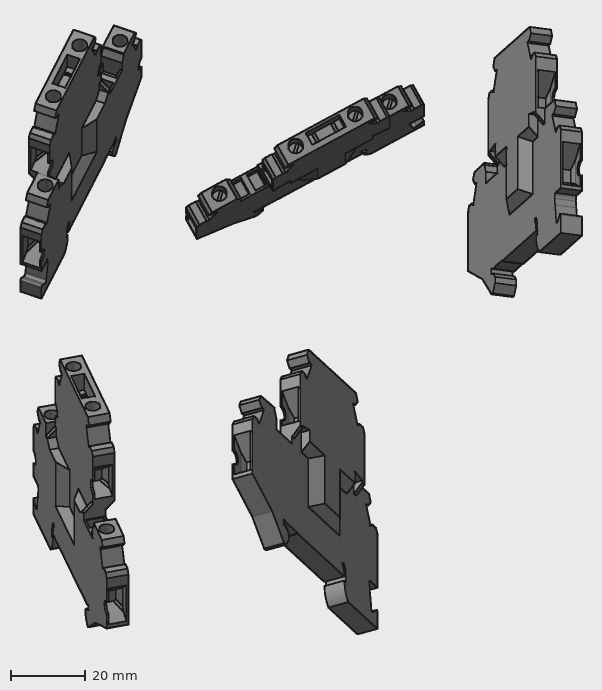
import cadquery as cq

housing_thickness = 6.15
deck_offset = 2.6
deck_left = 0.0
base_left = deck_left + deck_offset
deck_right = deck_left + housing_thickness
base_right = base_left + housing_thickness

deck_top = 64.4
tower_top = 39.8
rear_tower_top = 39.35
seat_level = 33.35
rail_level = 6.85
deck_half_length = 17.95
base_front = -29.9
base_rear = 40.0
tower_gap_end = 26.4

underside_level = seat_level + deck_offset
end_slope_bottom = 35.45
end_slope_top = 38.2
tab_inner = 12.65
tab_outer = 16.7
tab_inner_top = 39.55
tab_outer_top = 38.85
seat_half_length = 14.4

tongue_tip_half_width = 4.25
tongue_root_half_width = 8.8
tongue_tip_bottom = 20.9
tongue_root_bottom = 18.25

screw_hole_radius = 2.0
screw_hole_depth = 6.3
driver_slot_width = 0.8
driver_slot_depth = 0.7
deck_screws_y = (-9.2, 9.1)
base_screws_y = (-21.1, 31.1)
deck_screw_x = 3.55
base_screw_x = deck_screw_x + deck_offset

funnel_depth = 5.95
funnel_straight_depth = 3.6
funnel_mouth_left = 0.6
funnel_mouth_right = 5.6
funnel_end_left = 1.9
funnel_end_right = 5.1
funnel_end_top_drop = 5.6
funnel_end_bottom_drop = 9.4
deck_mouth_top = 50.55
deck_mouth_bottom = 39.8
base_mouth_top = 26.2
base_mouth_bottom = 14.0
funnel_left_chamfer = 0.55
funnel_right_chamfer = 0.2
notch_radius = 2.2
notch_drop = 6.8

label_pocket_half_length = 5.2
label_pocket_middle_y = -0.2
label_pocket_left = 1.7
label_pocket_right = 5.4
label_pocket_depth = 5.6
contact_slit_left = 2.1
contact_slit_width = 0.85
contact_slit_pitch = 5.9
contact_slit_depth = 0.7
seat_pocket_side_wall = 0.6
seat_pocket_depth = 3.5
seat_pockets_y = ((18.4, 21.6), (23.35, tower_gap_end))


def slab(outline, left, right):
    """Extrude a closed YZ outline between two X positions."""
    return outline.close().extrude(right - left).translate((left, 0, 0))


def box(x_range, y_range, z_range):
    """Box given by its limits along the three axes."""
    size = [high - low for low, high in (x_range, y_range, z_range)]
    corner = (x_range[0], y_range[0], z_range[0])
    return cq.Workplane("XY").box(*size, centered=False).translate(corner)


def clamp_end(end_y, inward, top):
    """Stepped end outline with an undercut lip, from the end face up to the top."""
    steps = [
        (0.0, 10.1),
        (1.2, 8.7),
        (4.3, 8.7),
        (4.3, 9.1),
        (5.5, 9.5),
        (9.1, 4.05),
        (7.8, 3.6),
        (7.5, 4.0),
        (5.3, 2.2),
        (6.7, 0.0),
    ]
    return [(end_y + inward * depth, top - drop) for depth, drop in steps]


def end_slope(side, left, closing_level):
    """Prism between the inclined face at one end of the deck and a flat level."""
    right = left + deck_offset
    prism = (
        cq.Workplane("XZ")
        .polyline([
            (left, closing_level),
            (left, end_slope_top),
            (right, end_slope_bottom),
            (right, closing_level),
        ])
        .close()
        .extrude(deck_half_length - tab_outer)
    )
    return prism.translate((0, deck_half_length if side > 0 else -tab_outer, 0))


def deck():
    outline = [(-deck_half_length, seat_level)]
    outline += clamp_end(-deck_half_length, 0.7, deck_top)
    outline += reversed(clamp_end(deck_half_length, -0.7, deck_top))
    outline += [(deck_half_length, seat_level)]
    body = slab(cq.Workplane("YZ").polyline(outline), deck_left, deck_right)

    middle_relief = (
        cq.Workplane("XZ")
        .polyline([
            (deck_left, seat_level),
            (base_left, seat_level),
            (deck_left, underside_level),
        ])
        .close()
        .extrude(deck_half_length, both=True)
    )
    body = body.cut(middle_relief)
    for side in (-1, 1):
        tab_recess = slab(
            cq.Workplane("YZ").polyline([
                (side * tab_inner, seat_level),
                (side * tab_inner, tab_inner_top),
                (side * tab_outer, tab_outer_top),
                (side * tab_outer, seat_level),
            ]),
            deck_left,
            base_left,
        )
        body = body.cut(tab_recess).cut(end_slope(side, deck_left, seat_level))
    return body


def tongue(left):
    """Tapered tongue, narrow at its left face and wide where it meets the housing."""
    tip = (tongue_tip_half_width, tongue_tip_bottom)
    root = (tongue_root_half_width, tongue_root_bottom)
    top = underside_level
    return (
        cq.Workplane("YZ", origin=(left, 0, 0))
        .polyline([(-tip[0], tip[1]), (tip[0], tip[1]), (tip[0], top), (-tip[0], top)])
        .close()
        .workplane(offset=deck_offset)
        .polyline([(-root[0], root[1]), (root[0], root[1]), (root[0], top), (-root[0], top)])
        .close()
        .loft(ruled=True)
    )


def base():
    outline = cq.Workplane("YZ").moveTo(base_front, 0)
    outline = outline.lineTo(base_front, 5.25).threePointArc((-29.7, 5.6), (-29.3, 5.6))
    outline = outline.lineTo(-27.7, 4.1).threePointArc((-27.0, 3.85), (-26.5, 4.4))
    outline = outline.threePointArc((-26.15, 6.9), (-25.65, 9.5))
    outline = outline.lineTo(-25.4, 11.45).threePointArc((-25.45, 12.3), (-25.8, 12.85))
    outline = outline.lineTo(base_front, 12.85)
    for point in clamp_end(base_front, 0.7, tower_top):
        outline = outline.lineTo(*point)
    ledge = [
        (deck_half_length, end_slope_top),
        (tab_outer, end_slope_top),
        (tab_outer, end_slope_bottom),
        (seat_half_length, seat_level),
    ]
    outline = outline.lineTo(-deck_half_length, tower_top)
    for y, z in ledge:
        outline = outline.lineTo(-y, z)
    for y, z in reversed(ledge):
        outline = outline.lineTo(y, z)
    outline = outline.lineTo(deck_half_length, seat_level).lineTo(tower_gap_end, seat_level)
    outline = outline.lineTo(tower_gap_end, 36.55).lineTo(27.6, 38.9).lineTo(27.6, 39.55)
    for y, z in reversed(clamp_end(base_rear, -0.7, tower_top)):
        outline = outline.lineTo(y, min(z, rear_tower_top))
    outline = outline.lineTo(base_rear, 12.65).lineTo(29.0, 6.6).lineTo(22.3, 0)
    outline = outline.lineTo(21.25, 0).lineTo(19.6, 2.4).lineTo(19.6, 4.1)
    outline = outline.lineTo(21.05, 5.6).lineTo(22.4, 5.8).lineTo(22.4, 7.35)
    outline = outline.lineTo(21.9, 7.35).lineTo(21.05, 6.9).lineTo(18.9, 7.05)
    outline = outline.lineTo(14.6, 7.05).lineTo(14.6, rail_level)
    outline = outline.lineTo(-11.3, rail_level)
    outline = outline.threePointArc((-11.1, 8.5), (-10.35, 10.2))
    outline = outline.threePointArc((-10.75, 10.75), (-11.3, 10.55))
    outline = outline.threePointArc((-12.1, 8.8), (-12.2, 7.6))
    outline = outline.lineTo(-12.2, 5.6).lineTo(-11.4, 5.6)
    outline = outline.threePointArc((-11.9, 2.65), (-13.55, 0))
    body = slab(outline, base_left, base_right)

    for side in (-1, 1):
        body = body.cut(end_slope(side, deck_right, deck_top))
    for y_range in seat_pockets_y:
        body = body.cut(
            box(
                (base_left + seat_pocket_side_wall, base_right - seat_pocket_side_wall),
                y_range,
                (seat_level - seat_pocket_depth, seat_level),
            )
        )
    return body


def screw_hole(x, y, top):
    """Screw shaft hole with a diagonal driver slot in the screw head at its floor."""
    floor = top - screw_hole_depth
    hole = (
        cq.Workplane("XY", origin=(x, y, floor))
        .circle(screw_hole_radius)
        .extrude(screw_hole_depth)
    )
    slot = (
        cq.Workplane("XY", origin=(x, y, floor - driver_slot_depth))
        .transformed(rotate=(0, 0, -45))
        .rect(2 * screw_hole_radius, driver_slot_width)
        .extrude(driver_slot_depth)
    )
    head = hole.translate((0, 0, -driver_slot_depth))
    return hole.union(slot.intersect(head))


def wire_entry(left, end_y, inward, mouth_top, mouth_bottom):
    """Funnel with sloping roof and floor, narrowing to a rectangular end."""
    end_inner = end_y + inward * funnel_depth
    straight_inner = end_y + inward * funnel_straight_depth
    side_profile = slab(
        cq.Workplane("YZ").polyline([
            (end_y, mouth_bottom),
            (end_y, mouth_top),
            (end_inner, mouth_top - funnel_end_top_drop),
            (end_inner, mouth_top - funnel_end_bottom_drop),
        ]),
        left,
        left + housing_thickness,
    )
    plan_profile = (
        cq.Workplane("XY", origin=(left, 0, mouth_bottom))
        .polyline([
            (funnel_mouth_left, end_y),
            (funnel_mouth_left, straight_inner),
            (funnel_end_left, end_inner),
            (funnel_end_right, end_inner),
            (funnel_mouth_right, straight_inner),
            (funnel_mouth_right, end_y),
        ])
        .close()
        .extrude(mouth_top - mouth_bottom)
    )
    notch = (
        cq.Workplane("YZ", origin=(left + funnel_end_right, end_y, mouth_top - notch_drop))
        .circle(notch_radius)
        .extrude(housing_thickness - funnel_end_right)
    )
    funnel = side_profile.intersect(plan_profile)

    edge_middle_depth = (funnel_straight_depth + funnel_depth) / 2
    floor_rise = mouth_top - funnel_end_bottom_drop - mouth_bottom
    edge_middle_z = mouth_bottom + floor_rise * edge_middle_depth / funnel_depth
    for mouth_x, end_x, chamfer in (
        (funnel_mouth_left, funnel_end_left, funnel_left_chamfer),
        (funnel_mouth_right, funnel_end_right, funnel_right_chamfer),
    ):
        edge_middle = (
            left + (mouth_x + end_x) / 2,
            end_y + inward * edge_middle_depth,
            edge_middle_z,
        )
        funnel = funnel.edges(cq.NearestToPointSelector(edge_middle)).chamfer(chamfer)
    return funnel.union(notch)


def label_pocket():
    """Open pocket in the deck top with two contact slits in its floor."""
    floor = deck_top - label_pocket_depth
    y_low = label_pocket_middle_y - label_pocket_half_length
    y_high = label_pocket_middle_y + label_pocket_half_length
    pocket = box((label_pocket_left, label_pocket_right), (y_low, y_high), (floor, deck_top))
    for side in (-1, 1):
        middle = label_pocket_middle_y + side * contact_slit_pitch / 2
        slit = box(
            (contact_slit_left, label_pocket_right),
            (middle - contact_slit_width / 2, middle + contact_slit_width / 2),
            (floor - contact_slit_depth, floor),
        )
        pocket = pocket.union(slit)
    return pocket


result = deck().union(base()).union(tongue(deck_left)).cut(tongue(deck_right))
result = result.cut(label_pocket())
for screw_y in deck_screws_y:
    result = result.cut(screw_hole(deck_screw_x, screw_y, deck_top))
for screw_y in base_screws_y:
    result = result.cut(screw_hole(base_screw_x, screw_y, tower_top))
for end_y, inward in ((-deck_half_length, 1), (deck_half_length, -1)):
    result = result.cut(wire_entry(deck_left, end_y, inward, deck_mouth_top, deck_mouth_bottom))
for end_y, inward in ((base_front, 1), (base_rear, -1)):
    result = result.cut(wire_entry(base_left, end_y, inward, base_mouth_top, base_mouth_bottom))